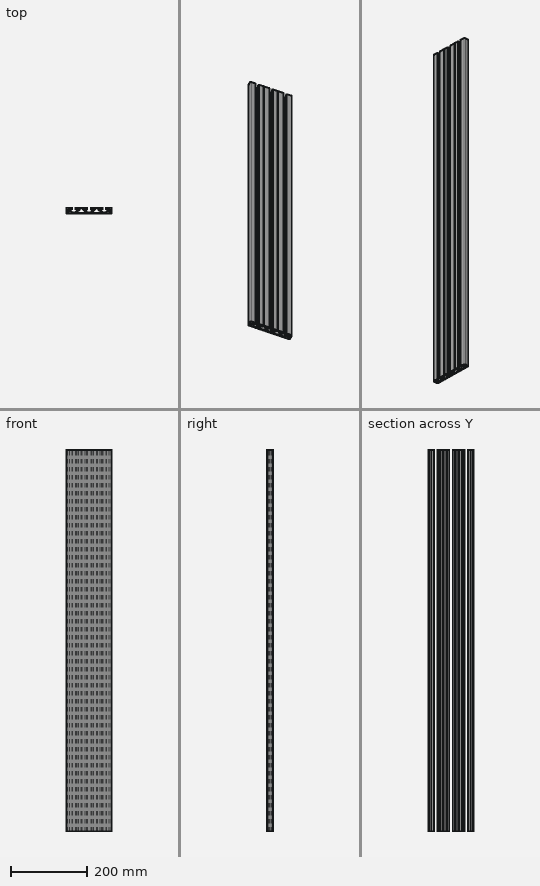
import cadquery as cq

WIDTH = 120.0
THICKNESS = 16.0
LENGTH = 1000.0
CORNER_RADIUS = 3.0
FRONT = -THICKNESS / 2
BACK = THICKNESS / 2

SLOT_COUNT = 3
SLOT_PITCH = WIDTH / SLOT_COUNT
SLOT_OPENING = 8.2
MOUTH_CHAMFER = 1.0
LIP_THICKNESS = 4.5
SLOT_WIDTH = 23.0
SLOT_SIDE_HEIGHT = 0.5
SLOT_DEPTH = 12.25

CHAMBER_TOP_WIDTH = 3.2
CHAMBER_ROOF = 2.5
CHAMBER_FLOOR = 2.8

CHANNEL_DIAMETER = 5.0
CHANNEL_INSET = 6.0


def extrude(outline):
    """Extrude a closed outline over the full length of the panel."""
    return outline.extrude(LENGTH / 2, both=True)


def row_positions(count):
    """X positions of a centred row of features, one slot pitch apart."""
    return [(i - (count - 1) / 2) * SLOT_PITCH for i in range(count)]


def symmetric_prism(center_x, right_side):
    """Prism whose section is the given right half, mirrored about center_x."""
    left_side = [(-x, y) for x, y in reversed(right_side)]
    points = [(center_x + x, y) for x, y in right_side + left_side]
    return extrude(cq.Workplane("XY").polyline(points).close())


def panel():
    body = extrude(cq.Workplane("XY").rect(WIDTH, THICKNESS))
    return body.edges("|Z").fillet(CORNER_RADIUS)


def t_slot(center_x):
    """T-slot with a chamfered mouth, flat lips and 45 degree lower sides."""
    half_opening = SLOT_OPENING / 2
    half_width = SLOT_WIDTH / 2
    lip_y = BACK - LIP_THICKNESS
    bevel_y = lip_y - SLOT_SIDE_HEIGHT
    floor_y = BACK - SLOT_DEPTH
    half_floor = half_width - (bevel_y - floor_y)
    return symmetric_prism(center_x, [
        (half_opening + MOUTH_CHAMFER, BACK),
        (half_opening, BACK - MOUTH_CHAMFER),
        (half_opening, lip_y),
        (half_width, lip_y),
        (half_width, bevel_y),
        (half_floor, floor_y),
    ])


def chamber(center_x):
    """Trapezoid whose 45 degree sides run parallel to the slot bevels."""
    roof_y = BACK - CHAMBER_ROOF
    floor_y = FRONT + CHAMBER_FLOOR
    half_top = CHAMBER_TOP_WIDTH / 2
    half_bottom = half_top + (roof_y - floor_y)
    return symmetric_prism(center_x, [(half_top, roof_y), (half_bottom, floor_y)])


def screw_channel(center_x):
    return extrude(cq.Workplane("XY").center(center_x, 0).circle(CHANNEL_DIAMETER / 2))


result = panel()
for slot_x in row_positions(SLOT_COUNT):
    result = result.cut(t_slot(slot_x))
for chamber_x in row_positions(SLOT_COUNT - 1):
    result = result.cut(chamber(chamber_x))
for side in (-1, 1):
    result = result.cut(screw_channel(side * (WIDTH / 2 - CHANNEL_INSET)))